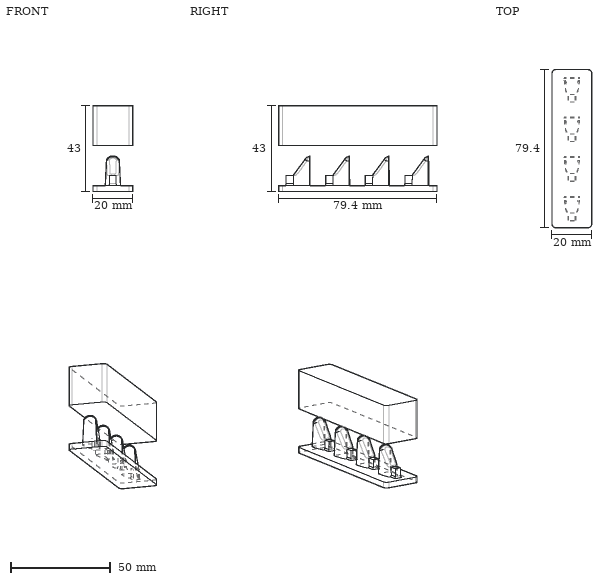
import cadquery as cq

LENGTH = 79.4
WIDTH = 20.0
CORNER_RADIUS = 2.0
PLATE_THICKNESS = 3.0
COVER_HEIGHT = WIDTH
COVER_GAP = WIDTH

FINGER_COUNT = 4
FINGER_PITCH = LENGTH / FINGER_COUNT
FIRST_BACK_Y = 35.65

FINGER_HEIGHT = 14.9
BACK_DRAFT = 0.15
BEVEL_DEPTH = 0.5
BEVEL_WIDTH = 0.15
FRONT_HALF_WIDTH = 0.8
BASE_HALF_WIDTH = 3.9
BASE_SHOULDER_HALF_WIDTH = 3.3
BASE_SHOULDER_DEPTH = 5.0
BASE_DEPTH = 8.65
TOP_HALF_WIDTH = 3.2
TOP_SHOULDER_HALF_WIDTH = 2.7
TOP_SHOULDER_DEPTH = 4.2
TOP_DEPTH = 7.95

LIP_HEIGHT = 0.5
ARCH_RADIUS = 3.6
SLOPE_FOOT_DEPTH = 8.6
SLOPE_FOOT_HEIGHT = 5.1
SLOPE_RUN = 6.5
SLOPE_RISE = 8.8
SLOPE_EDGE_RADIUS = 1.5

STUB_WIDTH = 3.2
STUB_FRONT_DEPTH = 12.15
STUB_HEIGHT = 5.1
STUB_OVERLAP = 1.6
STUB_BACK_DEPTH = SLOPE_FOOT_DEPTH - STUB_OVERLAP
FOOT_HEIGHT = 0.95
FOOT_SIDE_FLARE = 0.4
FOOT_FRONT_FLARE = 0.15


def rounded_slab(bottom_z, height):
    """Rectangular slab with rounded vertical corners."""
    return (
        cq.Workplane("XY", origin=(0, 0, bottom_z))
        .rect(WIDTH, LENGTH)
        .extrude(height)
        .edges("|Z")
        .fillet(CORNER_RADIUS)
    )


def core_section(plane, half_width, shoulder_half_width, shoulder_depth, depth, back):
    """Draw one horizontal section of the finger, with its round front toward -Y."""
    back_half_width = half_width - BEVEL_WIDTH
    return (
        plane.moveTo(-back_half_width, -back)
        .lineTo(back_half_width, -back)
        .lineTo(half_width, -BEVEL_DEPTH)
        .spline(
            [(shoulder_half_width, -shoulder_depth), (FRONT_HALF_WIDTH, -depth)],
            tangents=[(0, -1), (-1, 0)],
            includeCurrent=True,
        )
        .lineTo(-FRONT_HALF_WIDTH, -depth)
        .spline(
            [(-shoulder_half_width, -shoulder_depth), (-half_width, -BEVEL_DEPTH)],
            tangents=[(-1, 0), (0, 1)],
            includeCurrent=True,
        )
        .close()
    )


def drafted_column():
    """Column that narrows from the base section to the top section."""
    base = core_section(
        cq.Workplane("XY"),
        BASE_HALF_WIDTH,
        BASE_SHOULDER_HALF_WIDTH,
        BASE_SHOULDER_DEPTH,
        BASE_DEPTH,
        0,
    )
    return core_section(
        base.workplane(offset=FINGER_HEIGHT),
        TOP_HALF_WIDTH,
        TOP_SHOULDER_HALF_WIDTH,
        TOP_SHOULDER_DEPTH,
        TOP_DEPTH,
        BACK_DRAFT,
    ).loft(ruled=True)


def arch(height, depth):
    """Round-topped prism reaching from the back face to the given depth."""
    spring_height = height - ARCH_RADIUS
    return (
        cq.Workplane("XZ")
        .moveTo(-BASE_HALF_WIDTH, 0)
        .lineTo(BASE_HALF_WIDTH, 0)
        .lineTo(ARCH_RADIUS, spring_height)
        .threePointArc((0, height), (-ARCH_RADIUS, spring_height))
        .close()
        .extrude(depth)
    )


def slope_cutter():
    """Prism that removes everything in front of the sloping face."""
    top_depth = SLOPE_FOOT_DEPTH - 2 * SLOPE_RUN
    top_height = SLOPE_FOOT_HEIGHT + 2 * SLOPE_RISE
    low_depth = SLOPE_FOOT_DEPTH + SLOPE_RUN
    low_height = SLOPE_FOOT_HEIGHT - SLOPE_RISE
    return (
        cq.Workplane("YZ")
        .polyline([(-top_depth, top_height), (-low_depth, low_height), (-low_depth, top_height)])
        .close()
        .extrude(WIDTH / 2, both=True)
    )


def finger_core():
    """Column with an arched tip, a round-edged sloping face and a thin lip at the back."""
    column = drafted_column()
    body = column.intersect(arch(FINGER_HEIGHT - LIP_HEIGHT, BASE_DEPTH)).cut(slope_cutter())
    slope_normal = cq.Vector(0, -SLOPE_RISE, SLOPE_RUN)
    body = body.faces(cq.selectors.ParallelDirSelector(slope_normal)).edges().fillet(SLOPE_EDGE_RADIUS)
    lip = column.intersect(arch(FINGER_HEIGHT, BEVEL_DEPTH))
    return body.union(lip)


def stub():
    """Rectangular stub whose foot flares out to the sides and the front."""
    depth = STUB_FRONT_DEPTH - STUB_BACK_DEPTH
    block = (
        cq.Workplane("XY")
        .box(STUB_WIDTH, depth, STUB_HEIGHT, centered=(True, False, False))
        .translate((0, -STUB_FRONT_DEPTH, 0))
    )
    foot_depth = depth + FOOT_FRONT_FLARE
    foot = (
        cq.Workplane("XY", origin=(0, -STUB_BACK_DEPTH, 0))
        .center(0, -foot_depth / 2)
        .rect(STUB_WIDTH + 2 * FOOT_SIDE_FLARE, foot_depth)
        .workplane(offset=FOOT_HEIGHT)
        .center(0, FOOT_FRONT_FLARE / 2)
        .rect(STUB_WIDTH, depth)
        .loft(ruled=True)
    )
    return block.union(foot)


def finger_plate():
    """Base plate carrying the row of fingers."""
    plate = rounded_slab(0, PLATE_THICKNESS)
    finger = finger_core().union(stub())
    for index in range(FINGER_COUNT):
        back_y = FIRST_BACK_Y - index * FINGER_PITCH
        plate = plate.union(finger.translate((0, back_y, PLATE_THICKNESS)))
    return plate


base_plate = finger_plate()
cover_block = rounded_slab(PLATE_THICKNESS + COVER_GAP, COVER_HEIGHT)

result = cq.Compound.makeCompound([base_plate.val(), cover_block.val()])